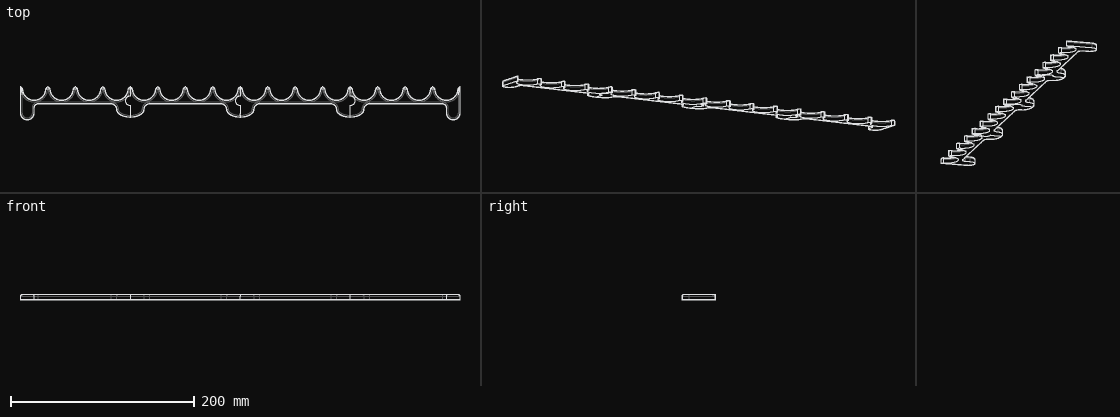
import cadquery as cq
import math

section_length = 120.0
section_count = 4
tooth_pitch = 30.0
thickness = 6.0
edge_round = 2.0
overall_depth = 36.5
tooth_half_width = 2.5
tip_length = 2.5
rail_width = 4.0
foot_width = 15.0
foot_fillet = 4.5
lobe_half_width = 15.0
lobe_height = 8.6
lobe_fillet = 6.0
knob_diameter = 10.5
knob_depth = 15.5
knob_directions = [-1, -1, 1]

half_length = section_length * section_count / 2
joint_xs = [section_length * (i + 1) - half_length for i in range(section_count - 1)]
hollow_count = round(2 * half_length / tooth_pitch)
hollow_xs = [tooth_pitch * (i + 0.5) - half_length for i in range(hollow_count)]

tip_y = overall_depth / 2
foot_bottom_y = -overall_depth / 2
foot_radius = foot_width / 2
foot_center_y = foot_bottom_y + foot_radius

hollow_radius = tooth_pitch / 2 - tooth_half_width
hollow_center_y = tip_y - tip_length
hollow_bottom_y = hollow_center_y - hollow_radius
rail_bottom_y = hollow_bottom_y - rail_width

knob_radius = knob_diameter / 2
knob_center_y = tip_y - knob_depth
diagonal = math.sqrt(0.5)


def fillet_midpoint(side_x, outward, radius):
    """Middle of the fillet between the rail and a vertical side; outward points to the rail."""
    inset = radius * (1 - diagonal)
    return (side_x + outward * inset, rail_bottom_y - inset)


def add_left_foot(outline):
    inner_x = foot_width - half_length
    return (
        outline.lineTo(-half_length, foot_center_y)
        .threePointArc((foot_radius - half_length, foot_bottom_y), (inner_x, foot_center_y))
        .lineTo(inner_x, rail_bottom_y - foot_fillet)
        .threePointArc(fillet_midpoint(inner_x, 1, foot_fillet), (inner_x + foot_fillet, rail_bottom_y))
    )


def add_right_foot(outline):
    inner_x = half_length - foot_width
    return (
        outline.lineTo(inner_x - foot_fillet, rail_bottom_y)
        .threePointArc(fillet_midpoint(inner_x, -1, foot_fillet), (inner_x, rail_bottom_y - foot_fillet))
        .lineTo(inner_x, foot_center_y)
        .threePointArc((half_length - foot_radius, foot_bottom_y), (half_length, foot_center_y))
        .lineTo(half_length, tip_y)
    )


def add_lobe(outline, x):
    """Half-elliptical widening of the bar around a joint, filleted into the rail."""
    left_x = x - lobe_half_width
    right_x = x + lobe_half_width
    widest_y = rail_bottom_y - lobe_fillet
    return (
        outline.lineTo(left_x - lobe_fillet, rail_bottom_y)
        .threePointArc(fillet_midpoint(left_x, -1, lobe_fillet), (left_x, widest_y))
        .ellipseArc(lobe_half_width, lobe_height, 180, 360, startAtCurrent=True)
        .threePointArc(fillet_midpoint(right_x, 1, lobe_fillet), (right_x + lobe_fillet, rail_bottom_y))
    )


def make_blank():
    """Whole bar before the hollows are cut, rounded on every top edge except the tip side."""
    outline = cq.Workplane("XY").moveTo(-half_length, tip_y)
    outline = add_left_foot(outline)
    for x in joint_xs:
        outline = add_lobe(outline, x)
    outline = add_right_foot(outline)
    blank = outline.close().extrude(thickness)
    return blank.faces(">Z").edges("not >Y").fillet(edge_round)


def make_hollow_cutter(x):
    """Half-round hollow that leaves a rounded top edge; its flared mouth points two tooth tips."""
    round_start_z = thickness - edge_round
    round_end_r = hollow_radius + edge_round
    round_mid = (round_end_r - edge_round * diagonal, round_start_z + edge_round * diagonal)
    bowl = (
        cq.Workplane("XZ", origin=(x, hollow_center_y, 0))
        .lineTo(hollow_radius, 0)
        .lineTo(hollow_radius, round_start_z)
        .threePointArc(round_mid, (round_end_r, thickness))
        .lineTo(0, thickness)
        .close()
        .revolve(180, (0, 0, 0), (0, -1, 0))
    )

    half_pitch = tooth_pitch / 2
    mouth = (
        cq.Workplane("XY", origin=(x, hollow_center_y, 0))
        .moveTo(-half_pitch, tip_length)
        .lineTo(-hollow_radius, 0)
        .lineTo(hollow_radius, 0)
        .lineTo(half_pitch, tip_length)
        .close()
        .extrude(thickness)
    )
    return bowl.union(mouth)


def make_region_left_of(joint_x, knob_direction):
    """Space left of a joint: bounded by a plane with a knob added to it or taken from it."""
    region = (
        cq.Workplane("XY")
        .rect(2 * (joint_x + half_length), 2 * overall_depth)
        .extrude(thickness)
        .translate((-half_length, 0, 0))
    )
    knob = cq.Workplane("XY").center(joint_x, knob_center_y).circle(knob_radius).extrude(thickness)
    if knob_direction > 0:
        return region.union(knob)
    return region.cut(knob)


def make_bar():
    bar = make_blank()
    for x in hollow_xs:
        bar = bar.cut(make_hollow_cutter(x))
    return bar


sections = []
remainder = make_bar()
for joint_x, knob_direction in zip(joint_xs, knob_directions):
    left_region = make_region_left_of(joint_x, knob_direction)
    sections.append(remainder.intersect(left_region))
    remainder = remainder.cut(left_region)
sections.append(remainder)

result = cq.Compound.makeCompound([solid for section in sections for solid in section.solids().vals()])